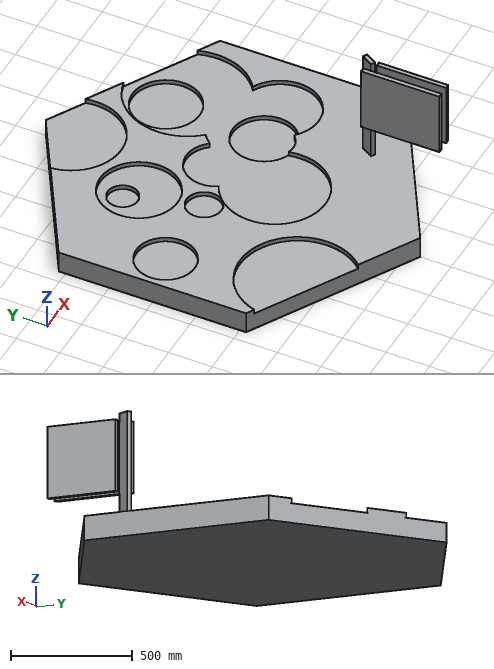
import cadquery as cq
import math

corner_span = 1720.0
slab_thickness = 103.0
pocket_depth = 20.0

upper_pockets = [
    (-55.0, 715.0, 458.0),
    (389.0, 402.0, 544.0),
    (-246.0, 310.0, 355.0),
    (-585.0, 19.0, 267.0),
    (-210.0, 30.0, 160.0),
    (38.0, 96.0, 273.0),
    (17.0, -184.0, 463.0),
    (471.0, 19.0, 355.0),
    (-455.0, -523.0, 528.0),
    (285.0, 77.0, 344.0),
    (275.0, -43.0, 193.0),
]

lower_pockets = [
    (308.0, 461.0, 308.0),
    (-289.0, 363.0, 138.0),
    (294.0, 3.0, 287.0),
]

post_width = 60.0
post_thickness = 20.0
post_height = 499.0
post_x = 394.0
post_y = -428.0
post_angle = 60.0

panel_thickness = 20.0
panel_height = 301.0
panel_top_gap = 31.0
panel_bottom_z = post_height - panel_top_gap - panel_height
panel_end_y = -775.0
panels = [
    (344.0, 360.0),
    (406.0, 318.0),
]


def make_disc(center_x, center_y, diameter, top_z):
    """Cutting disc, one pocket depth thick, below top_z."""
    return (
        cq.Workplane("XY", origin=(center_x, center_y, top_z))
        .circle(diameter / 2)
        .extrude(-pocket_depth)
    )


def make_slab():
    corner_radius = corner_span / 2
    corners = [
        (corner_radius * math.sin(math.radians(60 * i)), corner_radius * math.cos(math.radians(60 * i)))
        for i in range(6)
    ]
    slab = cq.Workplane("XY").polyline(corners).close().extrude(-slab_thickness)
    for center_x, center_y, diameter in upper_pockets:
        slab = slab.cut(make_disc(center_x, center_y, diameter, 0))
    for center_x, center_y, diameter in lower_pockets:
        slab = slab.cut(make_disc(center_x, center_y, diameter, -pocket_depth))
    return slab


def make_post():
    return (
        cq.Workplane("XY")
        .rect(post_width, post_thickness)
        .extrude(post_height)
        .rotate((0, 0, 0), (0, 0, 1), post_angle)
        .translate((post_x, post_y, 0))
    )


def make_panel(face_x, length):
    return (
        cq.Workplane("XY")
        .box(panel_thickness, length, panel_height, centered=False)
        .translate((face_x, panel_end_y, panel_bottom_z))
    )


slab = make_slab()
post = make_post()
panel_solids = [make_panel(face_x, length).val() for face_x, length in panels]

result = cq.Compound.makeCompound([slab.val(), post.val(), *panel_solids])